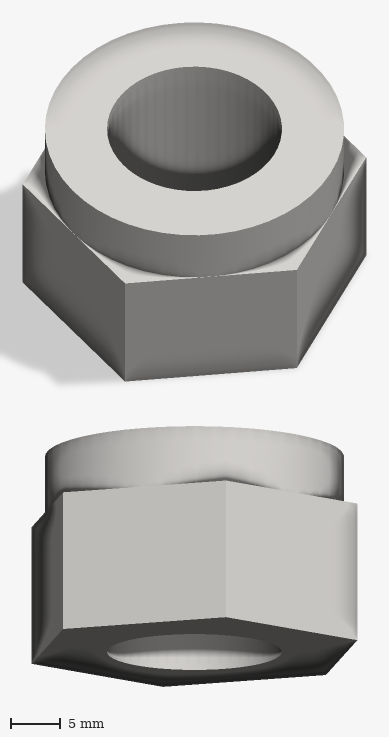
import cadquery as cq

hex_across_corners = 34.65
hex_turn = -0.8
total_height = 20.0
hex_height = 14.0
collar_diameter = 30.0
bore_diameter = 17.53

collar_height = total_height - hex_height

hex_body = (
    cq.Workplane("XY")
    .polygon(6, hex_across_corners)
    .extrude(hex_height)
    .rotate((0, 0, 0), (0, 0, 1), hex_turn)
)

collar = (
    cq.Workplane("XY")
    .workplane(offset=hex_height)
    .circle(collar_diameter / 2)
    .extrude(collar_height)
)

bore = cq.Workplane("XY").circle(bore_diameter / 2).extrude(total_height)

result = hex_body.union(collar).cut(bore)